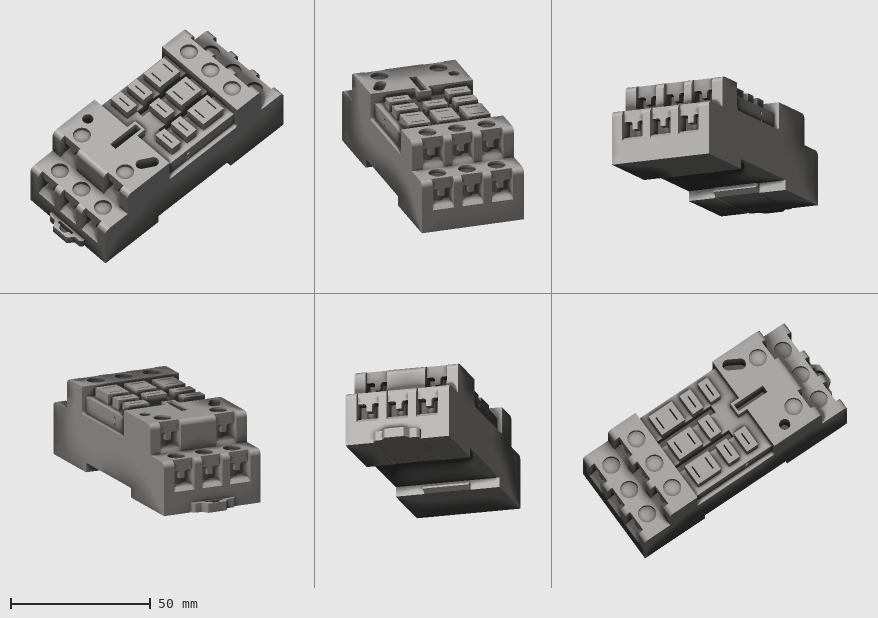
import cadquery as cq
import math

width = 38.7
rear_y = 46.05
front_y = -42.1
height = 31.0
tier_drop = 11.3
tier_depth = 11.0
edge_radius = 2.0
step_z = height - tier_drop

notch_rear_y = 19.9
notch_front_y = -15.9
notch_height = 3.6
hook_reach = 2.1
hook_tip_z = 1.4
hook_tip_height = 0.4
hook_top_z = 2.2

bay_rear_y = 23.1
bay_front_y = -10.4
bay_floor_z = 27.1
block_height = height - bay_floor_z
side_recess_depth = 1.7
side_recess_z = 20.9
side_recess_radius = 1.0
dimple_radius = 0.7
dimple_depth = 0.5
dimple_y = 0.5
dimple_heights = (22.5, 25.0)

column_inner_x = 7.1
column_outer_x = 15.5
center_block_width = 8.1
large_block_y = (10.1, 20.2)
middle_block_y = (2.0, 6.7)
left_block_y = (-6.0, -1.2)
right_block_y = (-5.4, -1.2)
blade_slot_length = 5.0
blade_slot_width = 0.55
large_block_slots = (12.3, 18.1)
middle_block_slot = 4.2
small_block_slot = -3.5
groove_end_y = -1.2

key_x = 0.14
key_tab_width = 5.1
key_tab_end_y = -6.5
key_slot_width = 2.9
key_slot_y = (-20.0, -7.4)
deck_opening_depth = 7.4
deck_hole_radius = 2.0
deck_hole_y = -18.05
round_hole_x = -14.8
oblong_x = 12.8
oblong_length = 4.4
oblong_angle = 60.0

terminal_pitch = 11.1
all_columns = (-terminal_pitch, 0, terminal_pitch)
outer_columns = (-terminal_pitch, terminal_pitch)
screw_inset = 6.6
screw_hole_radius = 3.2
screw_hole_depth = 1.5
screw_radius = 1.8
pocket_width = 8.1
entry_depth = 1.7
chamber_front = edge_radius
chamber_back = 6.4
pocket_floor_drop = 10.0
pocket_roof_drop = 4.1
tab_drop = 7.1
tab_half_width = 1.0
tab_corner_radius = 1.0

clip_tip_y = -46.05
clip_rear_y = -15.1
clip_half_width = 8.6
clip_bottom_z = 0.2
clip_clearance = 0.3
clip_shoulder_y = -43.75
clip_shoulder_corner = 0.9
clip_neck_half_width = 5.2
clip_tip_half_width = 3.5
clip_nose_y = -13.9
clip_nose_top_z = 2.3
clip_nose_bottom_z = 1.75
clip_nose_flat = 0.3
clip_nose_root_y = -16.0
tool_slot_half_width = 3.6
tool_slot_rear_y = -42.7
tool_notch_half_width = 2.0
tool_notch_end_y = -45.5
tool_slot_depth = 2.8


def box(x_range, y_range, z_range):
    """Axis-aligned box given by its limits along each axis."""
    (x0, x1), (y0, y1), (z0, z1) = x_range, y_range, z_range
    return cq.Workplane("XY").box(x1 - x0, y1 - y0, z1 - z0, centered=False).translate((x0, y0, z0))


def across(outline, full_width):
    """Closed Y-Z outline extruded symmetrically about the mid-plane X = 0."""
    return cq.Workplane("YZ").polyline(outline).close().extrude(full_width / 2, both=True)


def make_shell():
    """Stepped housing with rounded tier edges and a rail notch underneath."""
    outline = [
        (front_y, 0), (notch_front_y, 0), (notch_front_y, notch_height),
        (notch_rear_y, notch_height), (notch_rear_y, 0), (rear_y, 0),
        (rear_y, step_z), (rear_y - tier_depth, step_z), (rear_y - tier_depth, height),
        (front_y + tier_depth, height), (front_y + tier_depth, step_z), (front_y, step_z),
    ]
    shell = across(outline, width)
    for edge_y, edge_z in (
        (front_y, step_z), (rear_y, step_z),
        (front_y + tier_depth, height), (rear_y - tier_depth, height),
    ):
        corner = cq.selectors.BoxSelector(
            (-width, edge_y - edge_radius, edge_z - edge_radius),
            (width, edge_y + edge_radius, edge_z + edge_radius),
        )
        shell = shell.edges("|X").edges(corner).fillet(edge_radius)
    return shell


def make_rail_hook():
    """Fixed hook at the rear wall of the rail notch."""
    tip_y = notch_rear_y - hook_reach
    outline = [
        (notch_rear_y, 0), (notch_rear_y - hook_tip_height, 0), (tip_y, hook_tip_z),
        (tip_y, hook_tip_z + hook_tip_height), (tip_y + hook_tip_height, hook_top_z),
        (notch_rear_y, hook_top_z),
    ]
    return across(outline, 2 * clip_half_width)


def make_bay_cut():
    """Open space above the bay floor, leaving the key tab on the front deck."""
    bay = box((-width / 2, width / 2), (bay_front_y, bay_rear_y), (bay_floor_z, height))
    half_tab = key_tab_width / 2
    tab = box((key_x - half_tab, key_x + half_tab), (bay_front_y, key_tab_end_y), (bay_floor_z, height))
    return bay.cut(tab)


def make_side_recess(side):
    """Shallow recess in one side wall (side is -1 or 1), with two dimples in it."""
    inner_x = side * (width / 2 - side_recess_depth)
    x_range = sorted((inner_x, side * width / 2))
    recess = box(x_range, (bay_front_y, bay_rear_y), (side_recess_z, height))
    recess = recess.edges("|X and <Z").fillet(side_recess_radius)
    dimples = (
        cq.Workplane("YZ", origin=(inner_x, 0, 0))
        .pushPoints([(dimple_y, z) for z in dimple_heights])
        .circle(dimple_radius)
        .extrude(-side * dimple_depth)
    )
    return recess.union(dimples)


def make_socket_block(x_range, y_range, slot_x, slot_ys):
    """Contact block on the bay floor with a blade slot at each given Y."""
    block = box(x_range, y_range, (bay_floor_z, height))
    slots = (
        cq.Workplane("XY", origin=(0, 0, bay_floor_z))
        .pushPoints([(slot_x, y) for y in slot_ys])
        .rect(blade_slot_length, blade_slot_width)
        .extrude(block_height)
    )
    return block.cut(slots)


def make_socket_blocks():
    """Three columns of contact blocks; the center column has no front block."""
    left = (-column_outer_x, -column_inner_x)
    center = (-center_block_width / 2, center_block_width / 2)
    right = (column_inner_x, column_outer_x)
    blocks = []
    for x_range, slot_x in zip((left, center, right), all_columns):
        blocks.append(make_socket_block(x_range, large_block_y, slot_x, large_block_slots))
        blocks.append(make_socket_block(x_range, middle_block_y, slot_x, (middle_block_slot,)))
    blocks.append(make_socket_block(left, left_block_y, -terminal_pitch, (small_block_slot,)))
    blocks.append(make_socket_block(right, right_block_y, terminal_pitch, (small_block_slot,)))
    return blocks


def make_groove(side):
    """Deep groove in the bay floor between the center and an outer column."""
    x_range = sorted((side * center_block_width / 2, side * column_inner_x))
    return box(x_range, (groove_end_y, bay_rear_y), (bay_floor_z - block_height, bay_floor_z))


def make_deck_openings():
    """Key slot, round hole and oblong hole sunk into the front deck."""
    bottom_z = height - deck_opening_depth
    half_slot = key_slot_width / 2
    key_slot = box((key_x - half_slot, key_x + half_slot), key_slot_y, (bottom_z, height))
    deck = cq.Workplane("XY", origin=(0, 0, bottom_z))
    round_hole = deck.center(round_hole_x, deck_hole_y).circle(deck_hole_radius).extrude(deck_opening_depth)
    angle = math.radians(oblong_angle)
    oblong = (
        deck.center(
            oblong_x + oblong_length / 2 * math.cos(angle),
            deck_hole_y + oblong_length / 2 * math.sin(angle),
        )
        .slot2D(oblong_length + 2 * deck_hole_radius, 2 * deck_hole_radius, oblong_angle)
        .extrude(deck_opening_depth)
    )
    return key_slot.union(round_hole).union(oblong)


def make_terminal_cut():
    """Terminal opening with its face on Y = 0, looking to -Y, and the tier top on Z = 0.

    A sloped entry leads to a wire chamber with a hanging tab and a screw shank
    standing partly out of the chamber's back wall.
    """
    entry = across(
        [
            (0, -tier_drop), (entry_depth, -pocket_floor_drop),
            (chamber_front, -pocket_floor_drop), (chamber_front, 0), (0, 0),
        ],
        pocket_width,
    )
    chamber_space = box(
        (-pocket_width / 2, pocket_width / 2),
        (chamber_front, chamber_back),
        (-pocket_floor_drop, -pocket_roof_drop),
    )
    tab = box(
        (-tab_half_width, tab_half_width),
        (chamber_front, chamber_back),
        (-tab_drop, -pocket_roof_drop),
    )
    chamber = chamber_space.cut(tab)
    tab_roots = cq.selectors.BoxSelector(
        (-tab_half_width - tab_corner_radius, 0, -pocket_roof_drop - tab_corner_radius),
        (tab_half_width + tab_corner_radius, chamber_back, 0),
    )
    chamber = chamber.edges("|Y").edges(tab_roots).fillet(tab_corner_radius)
    screw = (
        cq.Workplane("XY", origin=(0, screw_inset, -pocket_floor_drop))
        .circle(screw_radius)
        .extrude(pocket_floor_drop - pocket_roof_drop)
    )
    screw_hole = (
        cq.Workplane("XY", origin=(0, screw_inset, -screw_hole_depth))
        .circle(screw_hole_radius)
        .extrude(screw_hole_depth)
    )
    return entry.union(chamber.cut(screw)).union(screw_hole)


def make_terminal_cuts():
    """Terminal openings of all four tiers; the upper front tier has no center terminal."""
    front_cut = make_terminal_cut()
    rear_cut = front_cut.mirror("XZ")
    tiers = (
        (front_cut, front_y, step_z, all_columns),
        (front_cut, front_y + tier_depth, height, outer_columns),
        (rear_cut, rear_y, step_z, all_columns),
        (rear_cut, rear_y - tier_depth, height, all_columns),
    )
    return [cut.translate((x, y, z)) for cut, y, z, columns in tiers for x in columns]


def make_clip_channel():
    """Channel in the underside, from the front face to the rail notch, that holds the clip."""
    half_width = clip_half_width + clip_clearance
    return box((-half_width, half_width), (front_y, notch_front_y), (0, notch_height))


def make_housing():
    housing = make_shell().union(make_rail_hook()).cut(make_bay_cut())
    for side in (-1, 1):
        housing = housing.cut(make_side_recess(side)).cut(make_groove(side))
    for block in make_socket_blocks():
        housing = housing.union(block)
    housing = housing.cut(make_deck_openings()).cut(make_clip_channel())
    for terminal in make_terminal_cuts():
        housing = housing.cut(terminal)
    return housing


def make_clip():
    """Sliding rail clip: flat bar with a stepped grip, a blind tool slot and a latch nose."""
    corner_x = clip_half_width - clip_shoulder_corner
    corner_y = clip_shoulder_y + clip_shoulder_corner
    right_edge = [
        (clip_half_width, clip_nose_root_y), (clip_half_width, corner_y), (corner_x, clip_shoulder_y),
        (clip_neck_half_width, clip_shoulder_y), (clip_tip_half_width, clip_tip_y),
    ]
    left_edge = [(-x, y) for x, y in reversed(right_edge)]
    bar = (
        cq.Workplane("XY", origin=(0, 0, clip_bottom_z))
        .polyline(right_edge + left_edge)
        .close()
        .extrude(notch_height - clip_bottom_z)
    )
    nose = across(
        [
            (clip_nose_root_y, clip_bottom_z),
            (clip_nose_y - clip_nose_flat, clip_nose_bottom_z), (clip_nose_y, clip_nose_bottom_z),
            (clip_nose_y, clip_nose_top_z), (clip_rear_y, clip_nose_top_z),
            (clip_rear_y, notch_height), (clip_nose_root_y, notch_height),
        ],
        2 * clip_half_width,
    )
    tool_slot = (
        cq.Workplane("XY", origin=(0, 0, notch_height - tool_slot_depth))
        .moveTo(-tool_slot_half_width, tool_slot_rear_y)
        .lineTo(tool_slot_half_width, tool_slot_rear_y)
        .lineTo(tool_slot_half_width, clip_shoulder_y)
        .lineTo(tool_notch_half_width, clip_shoulder_y)
        .threePointArc((0, tool_notch_end_y), (-tool_notch_half_width, clip_shoulder_y))
        .lineTo(-tool_slot_half_width, clip_shoulder_y)
        .close()
        .extrude(tool_slot_depth)
    )
    return bar.union(nose).cut(tool_slot)


housing = make_housing()
clip = make_clip()
result = cq.Compound.makeCompound([housing.solids().val(), clip.solids().val()])